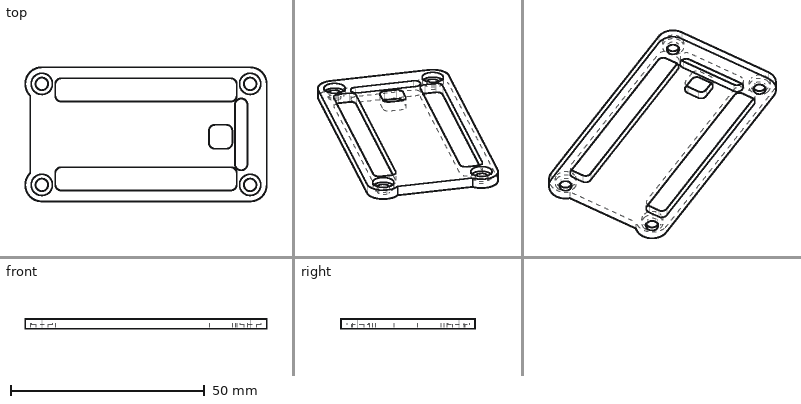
import cadquery as cq

length = 62.3
width = 34.6
thickness = 2.6
corner_radius = 4.3
left_edge_recess = 1.3

hole_diameter = 3.2
counterbore_diameter = 5.5
counterbore_depth = 1.4
hole_x = length / 2 - corner_radius
hole_y = width / 2 - corner_radius

side_slot_length = 46.7
side_slot_width = 5.9
side_slot_y = 11.45
window_corner_radius = 1.5

cross_slot_length = 18.45
cross_slot_width = 3.2
cross_slot_x = 24.55

window_length = 6.0
window_width = 6.1
window_x = 19.25
window_y = -0.6


def make_plate():
    """Rounded main body with full-round ears at the two left corners."""
    body_length = length - left_edge_recess
    plate = (
        cq.Workplane("XY")
        .center(left_edge_recess / 2, 0)
        .rect(body_length, width)
        .extrude(thickness)
        .edges("|Z and >X")
        .fillet(corner_radius)
    )
    for side in (-1, 1):
        corner = cq.Workplane("XY").box(
            corner_radius, corner_radius, thickness, centered=(True, True, False)
        ).translate((
            -length / 2 + corner_radius / 2,
            side * (width - corner_radius) / 2,
            0,
        ))
        ear = (
            cq.Workplane("XY")
            .center(-hole_x, side * hole_y)
            .circle(corner_radius)
            .extrude(thickness)
        )
        plate = plate.cut(corner).union(ear)
    return plate


def rounded_opening(x, y, size_x, size_y):
    """Through-cutter with rounded vertical corners."""
    return (
        cq.Workplane("XY")
        .center(x, y)
        .rect(size_x, size_y)
        .extrude(thickness)
        .edges("|Z")
        .fillet(window_corner_radius)
    )


result = make_plate()

for side in (-1, 1):
    result = result.cut(rounded_opening(0, side * side_slot_y, side_slot_length, side_slot_width))

result = result.cut(rounded_opening(window_x, window_y, window_length, window_width))

cross_slot = (
    cq.Workplane("XY")
    .center(cross_slot_x, 0)
    .slot2D(cross_slot_length, cross_slot_width, 90)
    .extrude(thickness)
)
result = result.cut(cross_slot)

result = (
    result.faces(">Z")
    .workplane(origin=(0, 0, thickness))
    .rect(2 * hole_x, 2 * hole_y, forConstruction=True)
    .vertices()
    .cboreHole(hole_diameter, counterbore_diameter, counterbore_depth)
)